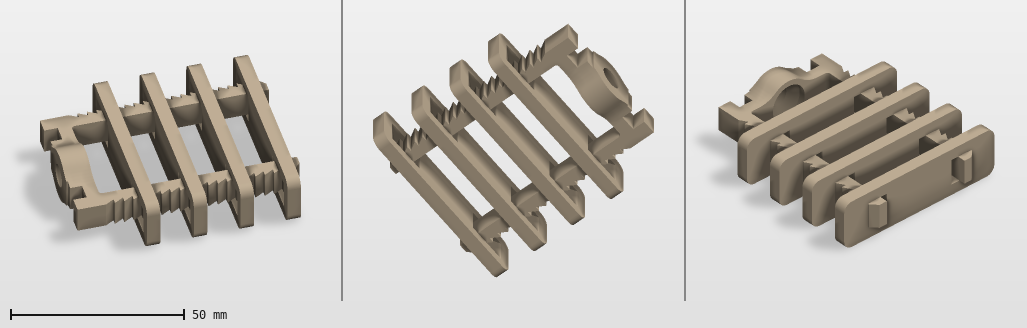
import cadquery as cq
import math


total_length = 67
fork_height = 8.1
leg_outer_x = 19.95
leg_inner_x = 15.0
foot_inner_x = 15.5
crossbar_front_y = 4.0
crossbar_back_y = 8.0
inner_corner_radius = 1.0
tip_chamfer = 2.2

plate_pitch = 14.0
teeth_per_plate = 5
tooth_pitch = plate_pitch / teeth_per_plate
tooth_count = 20
tooth_depth = 1.55
tooth_land = 0.2
tooth_root_x = leg_outer_x - tooth_depth
first_catch_y = 11.2

hub_diameter = 16.0
hub_radius = hub_diameter / 2
hub_flare_radius = 10.0
hub_half_width = 10.45
hub_step_half_width = 8.05
hub_step_depth = 0.5

bore_radius = 3.5
bore_depth = 3.0
countersink_end_y = 5.8
screw_head_radius = 6.15

plate_count = 4
plate_length = 58.0
plate_height = hub_diameter
plate_thickness = 4.0
plate_corner_radius = 3.0
window_clearance = 0.55
window_height = fork_height + window_clearance
window_inner_x = 12.4
window_front_outer_x = 25.4
window_back_outer_x = 18.55
catch_gap = 0.15
first_plate_catch = 4

plate_centre_z = -window_clearance / 2


def catch_y(index):
    """Y of the flat catching face of a tooth, counted from the foot end."""
    return first_catch_y + index * tooth_pitch


def extrude_plan(points, height):
    """Prism from an XY outline, centred on Z = 0."""
    return cq.Workplane("XY").polyline(points).close().extrude(height / 2, both=True)


def make_leg():
    """The leg on the +X side, with its foot, teeth and bevelled tip."""
    points = [
        (leg_inner_x, crossbar_front_y),
        (foot_inner_x, crossbar_front_y),
        (foot_inner_x, 0),
        (leg_outer_x, 0),
        (leg_outer_x, catch_y(-1) + tooth_land),
    ]
    for index in range(tooth_count):
        points += [
            (tooth_root_x, catch_y(index)),
            (leg_outer_x, catch_y(index)),
            (leg_outer_x, catch_y(index) + tooth_land),
        ]
    points[-1] = (leg_outer_x, total_length - tip_chamfer)
    points += [
        (leg_outer_x - tip_chamfer, total_length),
        (leg_inner_x, total_length),
    ]
    return extrude_plan(points, fork_height)


def make_crossbar():
    """Bar that joins the two legs."""
    return cq.Workplane("XY").box(
        2 * leg_inner_x, crossbar_back_y - crossbar_front_y, fork_height, centered=(True, False, True)
    ).translate((0, crossbar_front_y, 0))


def make_hub():
    """Round boss that flares into the crossbar, stepped back at both sides of its front."""
    flare_centre_z = fork_height / 2 + hub_flare_radius
    centre_distance = hub_radius + hub_flare_radius
    flare_end_x = math.sqrt(centre_distance**2 - flare_centre_z**2)
    tangent_x = flare_end_x * hub_radius / centre_distance
    tangent_z = flare_centre_z * hub_radius / centre_distance

    half_sweep = math.atan2(flare_end_x, flare_centre_z) / 2
    flare_mid_x = flare_end_x - hub_flare_radius * math.sin(half_sweep)
    flare_mid_z = flare_centre_z - hub_flare_radius * math.cos(half_sweep)

    boss = (
        cq.Workplane("XZ")
        .moveTo(-flare_end_x, fork_height / 2)
        .threePointArc((-flare_mid_x, flare_mid_z), (-tangent_x, tangent_z))
        .threePointArc((0, hub_radius), (tangent_x, tangent_z))
        .threePointArc((flare_mid_x, flare_mid_z), (flare_end_x, fork_height / 2))
        .lineTo(flare_end_x, -fork_height / 2)
        .threePointArc((flare_mid_x, -flare_mid_z), (tangent_x, -tangent_z))
        .threePointArc((0, -hub_radius), (-tangent_x, -tangent_z))
        .threePointArc((-flare_mid_x, -flare_mid_z), (-flare_end_x, -fork_height / 2))
        .close()
        .extrude(-crossbar_back_y)
    )
    half_plan = [
        (hub_step_half_width, 0),
        (hub_step_half_width, hub_step_depth),
        (hub_half_width, hub_step_depth),
        (hub_half_width, crossbar_front_y),
        (flare_end_x, crossbar_front_y),
        (flare_end_x, crossbar_back_y),
    ]
    mirrored_half = [(-x, y) for x, y in reversed(half_plan)]
    return boss.intersect(extrude_plan(half_plan + mirrored_half, hub_diameter))


def make_screw_hole():
    """Front bore, countersink and head recess, turned about the hub axis."""
    return (
        cq.Workplane("XY")
        .polyline([
            (0, 0),
            (bore_radius, 0),
            (bore_radius, bore_depth),
            (screw_head_radius, countersink_end_y),
            (screw_head_radius, crossbar_back_y),
            (0, crossbar_back_y),
        ])
        .close()
        .revolve(360, (0, 0, 0), (0, 1, 0))
    )


def make_fork():
    """Both legs, the crossbar and the hub as one body."""
    leg = make_leg()
    frame = make_crossbar().union(leg).union(leg.mirror("YZ"))
    margin = inner_corner_radius / 2
    inner_corners = cq.selectors.BoxSelector(
        (-leg_inner_x - margin, crossbar_back_y - margin, -fork_height),
        (leg_inner_x + margin, crossbar_back_y + margin, fork_height),
    )
    frame = frame.edges("|Z").edges(inner_corners).fillet(inner_corner_radius)
    return frame.union(make_hub()).cut(make_screw_hole())


def make_plate(back_y):
    """Rounded plate with two windows whose outer walls slope in to a catching edge at the back."""
    front_y = back_y - plate_thickness
    plate = (
        cq.Workplane("XY")
        .box(plate_length, plate_thickness, plate_height, centered=(True, False, True))
        .edges("|Y")
        .fillet(plate_corner_radius)
        .translate((0, front_y, 0))
    )
    window = extrude_plan(
        [
            (window_inner_x, front_y),
            (window_front_outer_x, front_y),
            (window_back_outer_x, back_y),
            (window_inner_x, back_y),
        ],
        window_height,
    )
    plate = plate.cut(window).cut(window.mirror("YZ"))
    return plate.translate((0, 0, plate_centre_z))


fork = make_fork()

first_plate_back_y = catch_y(first_plate_catch) - catch_gap
plates = [make_plate(first_plate_back_y + index * plate_pitch) for index in range(plate_count)]

result = cq.Compound.makeCompound([fork.solids().val(), *[plate.solids().val() for plate in plates]])